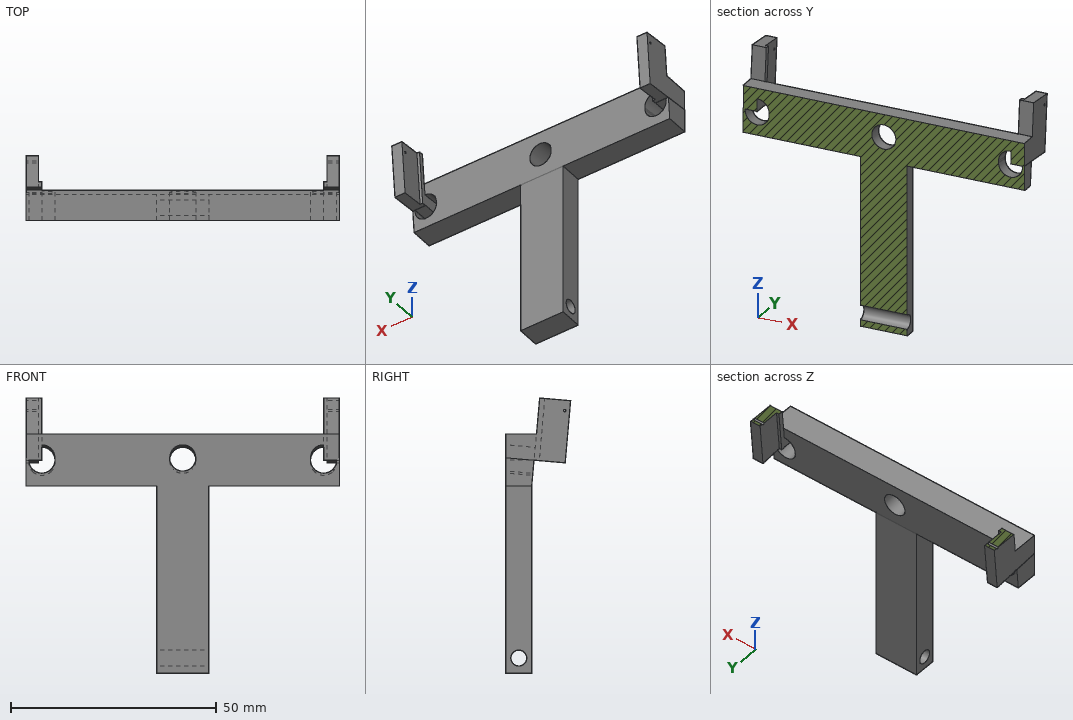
import math

import cadquery as cq

TILT = 5.0
BAR_LENGTH = 76.31
ARM_SPAN = 76.2
BAR_HEIGHT = 12.7
THICKNESS = 6.35
STEM_WIDTH = 12.7
STEM_HEIGHT = 45.6
OVERALL_HEIGHT = 67.07

ARM_DEPTH = 7.62
ARM_LENGTH = 15.24
ARM_WIDTH = 3.81
CORNER_BLOCK_HEIGHT = 6.35
RABBET_WIDTH = 0.76
RABBET_START = 1.27

BAR_HOLE_DIAMETER = 6.35
BAR_HOLE_DROP = 5.83
SLOT_TRAVEL = 0.5
STEM_HOLE_DIAMETER = 3.81
STEM_HOLE_HEIGHT = 3.75
PIN_HOLE_DIAMETER = 0.5
PIN_HOLE_INSET = 1.27
PIN_HOLE_DROP = 2.54

BAR_TOP = STEM_HEIGHT + BAR_HEIGHT
HALF_LENGTH = BAR_LENGTH / 2
HALF_SPAN = ARM_SPAN / 2
HOLE_REACH = 2 * THICKNESS
SLOPE = math.tan(math.radians(TILT))
COS = math.cos(math.radians(TILT))
SIN = math.sin(math.radians(TILT))
ARM_FRONT_TOP = (THICKNESS + (OVERALL_HEIGHT - STEM_HEIGHT) * SLOPE, OVERALL_HEIGHT)


def back_face_y(z):
    """Y of the tilted back plane at height z."""
    return THICKNESS + (z - STEM_HEIGHT) * SLOPE


def arm_point(behind, below):
    """(Y, Z) of a point given behind the tilted plane and below the arm top."""
    return (
        ARM_FRONT_TOP[0] + behind * COS - below * SIN,
        ARM_FRONT_TOP[1] - behind * SIN - below * COS,
    )


def foot_z_at_front():
    """Z at which the plane of the arm's foot meets the front face of the bar."""
    foot_y, foot_z = arm_point(ARM_DEPTH, ARM_LENGTH)
    return foot_z + foot_y * SLOPE


def extrude_yz(points, x_start, length):
    """Prism along +X from a closed (Y, Z) outline."""
    return cq.Workplane("YZ", origin=(x_start, 0, 0)).polyline(points).close().extrude(length)


def make_bar():
    outline = [
        (0, STEM_HEIGHT),
        (THICKNESS, STEM_HEIGHT),
        (back_face_y(BAR_TOP), BAR_TOP),
        (0, BAR_TOP),
    ]
    return extrude_yz(outline, -HALF_LENGTH, BAR_LENGTH)


def make_stem():
    stem = cq.Workplane("XY").box(STEM_WIDTH, THICKNESS, STEM_HEIGHT, centered=(True, False, False))
    hole = (
        cq.Workplane("YZ", origin=(-STEM_WIDTH / 2, 0, 0))
        .center(THICKNESS / 2, STEM_HOLE_HEIGHT)
        .circle(STEM_HOLE_DIAMETER / 2)
        .extrude(STEM_WIDTH)
    )
    return stem.cut(hole)


def tilted_plane(x, drop):
    """Plane square to the hole axes, centred on the front face at x and drop below the bar top."""
    return cq.Plane(origin=(x, 0, BAR_TOP - drop), xDir=(1, 0, 0), normal=(0, -COS, SIN))


def make_centre_hole():
    plane = tilted_plane(0, BAR_HOLE_DROP)
    return cq.Workplane(plane).circle(BAR_HOLE_DIAMETER / 2).extrude(HOLE_REACH, both=True)


def make_end_slot(x):
    """End hole, lengthened downward by SLOT_TRAVEL."""
    plane = tilted_plane(x, BAR_HOLE_DROP + SLOT_TRAVEL / 2)
    slot_length = BAR_HOLE_DIAMETER + SLOT_TRAVEL
    profile = cq.Workplane(plane).slot2D(slot_length, BAR_HOLE_DIAMETER, angle=90)
    return profile.extrude(HOLE_REACH, both=True)


def make_end_relief():
    """Material outside the left arm, trimmed off the bar end above the plane of the foot."""
    foot_back = arm_point(ARM_DEPTH, ARM_LENGTH)
    outline = [
        foot_back,
        (0, foot_z_at_front()),
        (0, BAR_TOP),
        (foot_back[0], BAR_TOP),
    ]
    return extrude_yz(outline, -HALF_LENGTH, HALF_LENGTH - HALF_SPAN)


def make_corner_block():
    """Flat-bottomed left upper corner of the bar, reaching to the centre of the end hole."""
    block_bottom = BAR_TOP - CORNER_BLOCK_HEIGHT
    outline = [
        (0, block_bottom),
        (back_face_y(block_bottom), block_bottom),
        (back_face_y(BAR_TOP), BAR_TOP),
        (0, BAR_TOP),
    ]
    return extrude_yz(outline, -HALF_SPAN, ARM_WIDTH)


def make_left_arm():
    outline = [
        ARM_FRONT_TOP,
        arm_point(ARM_DEPTH, 0),
        arm_point(ARM_DEPTH, ARM_LENGTH),
        arm_point(0, ARM_LENGTH),
    ]
    arm = extrude_yz(outline, -HALF_SPAN, ARM_WIDTH)
    rabbet_outline = [
        arm_point(RABBET_START, 0),
        arm_point(ARM_DEPTH, 0),
        arm_point(ARM_DEPTH, ARM_LENGTH),
        arm_point(RABBET_START, ARM_LENGTH),
    ]
    rabbet = extrude_yz(rabbet_outline, -HALF_SPAN + ARM_WIDTH - RABBET_WIDTH, RABBET_WIDTH)
    pin_y, pin_z = arm_point(ARM_DEPTH - PIN_HOLE_INSET, PIN_HOLE_DROP)
    pin_hole = (
        cq.Workplane("YZ", origin=(-HALF_SPAN, 0, 0))
        .center(pin_y, pin_z)
        .circle(PIN_HOLE_DIAMETER / 2)
        .extrude(ARM_WIDTH)
    )
    return arm.cut(rabbet).cut(pin_hole)


result = make_bar().union(make_stem()).cut(make_centre_hole())
for side in (-1, 1):
    result = result.cut(make_end_slot(side * (HALF_SPAN - ARM_WIDTH)))

end_relief = make_end_relief()
result = result.cut(end_relief).cut(end_relief.mirror("YZ"))

left_end = make_left_arm().union(make_corner_block())
result = result.union(left_end).union(left_end.mirror("YZ"))